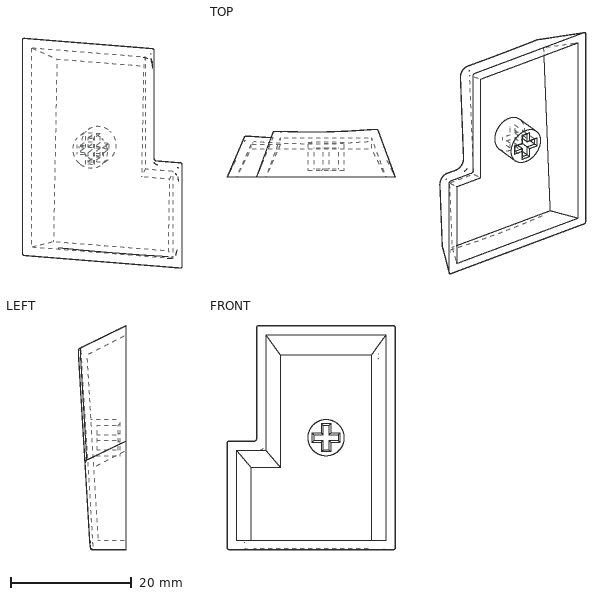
import cadquery as cq
import math

WIDTH = 27.8
HEIGHT = 37.08
STEP_X = 4.85
STEP_Z = 18.0
RIM_RADIUS = 0.35
WALL = 1.55

DEPTH_TOP = 7.97
DEPTH_BOTTOM = 5.97
SIDE_DRAFT = 2.9
TOP_DRAFT = 3.9
SHOULDER_DRAFT = 3.3
BACK_RADIUS = 1.75
DISH_SAG = 0.52
BACK_EDGE_RADIUS = 0.25

FLOOR_THICKNESS = 1.45
FLOOR_SIDE_DRAFT = 2.37
FLOOR_TOP_DRAFT = 3.3
FLOOR_SHOULDER_DRAFT = 2.78

STEM_X = 16.35
STEM_Z = 18.55
STEM_DIAMETER = 6.0
STEM_RECESS = 1.05
CROSS_SPAN = 4.65
CROSS_ARM = 1.55
CROSS_CHAMFER = 0.3
CROSS_DEPTH = 3.8

BACK_HEIGHT = HEIGHT - TOP_DRAFT
LEAN_SLOPE = (DEPTH_TOP - DEPTH_BOTTOM) / BACK_HEIGHT
LEAN_SCALE = math.hypot(1, LEAN_SLOPE)


def xz_plane(depth, slope=0.0):
    """Plane with local x along X and local y up along Z, leaning in Y by the slope."""
    return cq.Plane(origin=(0, depth, 0), xDir=(1, 0, 0), normal=(0, -1, slope))


def step_outline(left, right, bottom, top, step_x, step_z):
    return [(left, bottom), (right, bottom), (right, top),
            (step_x, top), (step_x, step_z), (left, step_z)]


def outline_wire(plane, points, radius=0.0):
    """Closed outline on the plane, points given in X and Z, with rounded corners."""
    stretch = math.hypot(1, plane.zDir.z / plane.zDir.y)
    local = [(x, z * stretch) for x, z in points]
    wire = cq.Workplane(plane).polyline(local).close().val()
    if radius:
        wire = wire.fillet2D(radius, wire.Vertices())
    return wire


def ruled_solid(*wires):
    return cq.Workplane(obj=cq.Solid.makeLoft(list(wires), True))


def make_shell():
    rim = step_outline(0, WIDTH, 0, HEIGHT, STEP_X, STEP_Z)
    back = step_outline(SIDE_DRAFT, WIDTH - SIDE_DRAFT, 0, BACK_HEIGHT,
                        STEP_X + SIDE_DRAFT, STEP_Z - SHOULDER_DRAFT)
    return ruled_solid(outline_wire(xz_plane(0), rim, RIM_RADIUS),
                       outline_wire(xz_plane(DEPTH_BOTTOM, LEAN_SLOPE), back, BACK_RADIUS))


def make_dish():
    """Large cylinder along the leaning back that passes through its two side edges."""
    half_span = WIDTH / 2 - SIDE_DRAFT
    radius = (half_span**2 + DISH_SAG**2) / (2 * DISH_SAG)
    axis_depth = DEPTH_BOTTOM + (radius - DISH_SAG) * LEAN_SCALE
    start = cq.Vector(WIDTH / 2, axis_depth - HEIGHT * LEAN_SLOPE, -HEIGHT)
    axis = cq.Vector(0, LEAN_SLOPE, 1)
    return cq.Workplane(obj=cq.Solid.makeCylinder(radius, 3 * HEIGHT, start, axis))


def make_cavity():
    left, right = WALL, WIDTH - WALL
    bottom, top = WALL, HEIGHT - WALL
    step_x, step_z = STEP_X + WALL, STEP_Z - WALL
    mouth = step_outline(left, right, bottom, top, step_x, step_z)
    floor = step_outline(left + FLOOR_SIDE_DRAFT, right - FLOOR_SIDE_DRAFT,
                         bottom, top - FLOOR_TOP_DRAFT,
                         step_x + FLOOR_SIDE_DRAFT, step_z - FLOOR_SHOULDER_DRAFT)
    floor_plane = xz_plane(DEPTH_BOTTOM - FLOOR_THICKNESS, LEAN_SLOPE)
    return ruled_solid(outline_wire(xz_plane(0), mouth), outline_wire(floor_plane, floor))


def make_stem():
    floor_depth = DEPTH_BOTTOM - FLOOR_THICKNESS + LEAN_SLOPE * (STEM_Z + STEM_DIAMETER / 2)
    start = cq.Vector(STEM_X, STEM_RECESS, STEM_Z)
    return cq.Workplane(obj=cq.Solid.makeCylinder(
        STEM_DIAMETER / 2, floor_depth - STEM_RECESS, start, cq.Vector(0, 1, 0)))


def cross_wire(depth, inset):
    tip = CROSS_SPAN / 2 - inset
    side = CROSS_ARM / 2 - inset
    arm = [(side, -side), (tip, -side), (tip, side)]
    points = []
    for _ in range(4):
        points += [(STEM_X + x, STEM_Z + z) for x, z in arm]
        arm = [(-z, x) for x, z in arm]
    return outline_wire(xz_plane(depth), points)


def make_socket():
    chamfer_end = STEM_RECESS + CROSS_CHAMFER
    narrow_cross = cross_wire(chamfer_end, CROSS_CHAMFER)
    mouth = ruled_solid(cross_wire(STEM_RECESS, 0), narrow_cross)
    shaft = ruled_solid(narrow_cross, cross_wire(STEM_RECESS + CROSS_DEPTH, CROSS_CHAMFER))
    return mouth.union(shaft)


dished_body = make_shell().cut(make_dish())
rounded_body = dished_body.faces(">Y").edges().fillet(BACK_EDGE_RADIUS)
shell = rounded_body.cut(make_cavity())
result = shell.union(make_stem()).cut(make_socket())